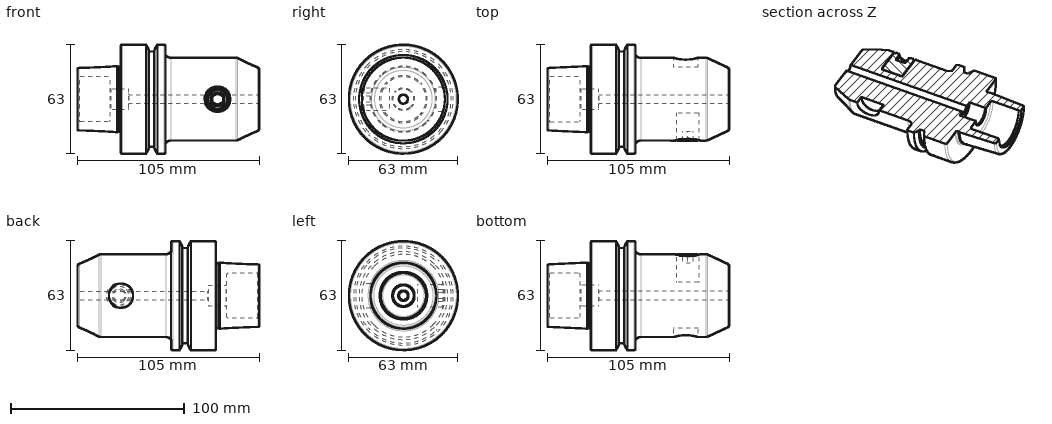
import cadquery as cq
import math


shank_tip_radius = 18.1
shank_base_radius = 19.1
taper_end = 22.9
edge_round = 1.0

relief_radius = 18.8
relief_start = 23.7
relief_end = 24.4
relief_round = 0.7
relief_rim_radius = 20.4

flange_radius = 31.5
flange_start = 25.0
flange_end = 50.9
groove_center = 42.8
groove_top_half_width = 3.3
groove_flank_half_width = 1.7
groove_floor_half_width = 1.5
groove_flank_radius = 28.7
groove_floor_radius = 27.5

neck_radius = 23.9
neck_fillet = 3.6
neck_fillet_end = 53.9
total_length = 105.0
nose_start = 92.0
nose_angle = math.radians(25)
nose_blend = 2.3
nose_tip_round = 2.0

bore_radius = 13.0
bore_mouth_radius = 13.8
bore_mouth_length = 1.3
bore_depth = 18.9
bore_floor_round = 1.0
entry_radius = 6.0
entry_depth = 10.5
entry_chamfer = 0.5
passage_radius = 2.5
passage_chamfer = 0.5

screw_x = 80.8
screw_radius = 6.5
screw_length = 16.0
screw_face_radius = 5.5
screw_chamfer = screw_radius - screw_face_radius
screw_hole_chamfer = 0.8
hex_across_flats = 6.0
hex_depth = 5.2
hex_mouth_radius = 4.0
hex_mouth_angle = math.radians(30)

pocket_x = 79.8
pocket_radius = 7.0
pocket_depth = 5.2

match_tolerance = 0.01


def relief_profile(outline):
    """Continue the outline over the relief and up to the flange face."""
    relief_floor_x = relief_end + relief_round
    round_diagonal = relief_round * math.sqrt(0.5)
    return (
        outline.lineTo(relief_start, relief_radius)
        .lineTo(relief_end, relief_radius)
        .threePointArc(
            (relief_end + round_diagonal, relief_radius + relief_round - round_diagonal),
            (relief_floor_x, relief_radius + relief_round),
        )
        .lineTo(flange_start, relief_rim_radius)
    )


def groove_profile(outline):
    """Continue the outline down into the gripper groove and out again."""
    steps = [
        (groove_top_half_width, flange_radius),
        (groove_flank_half_width, groove_flank_radius),
        (groove_floor_half_width, groove_floor_radius),
    ]
    for half_width, radius in steps:
        outline = outline.lineTo(groove_center - half_width, radius)
    for half_width, radius in reversed(steps):
        outline = outline.lineTo(groove_center + half_width, radius)
    return outline


def neck_fillet_profile(outline):
    """Continue the outline along the arc that runs from the flange face into the neck."""
    def arc_point(x):
        along = neck_fillet_end - x
        return x, neck_radius + neck_fillet - math.sqrt(neck_fillet**2 - along**2)

    middle = (flange_end + neck_fillet_end) / 2
    return (
        outline.lineTo(*arc_point(flange_end))
        .threePointArc(arc_point(middle), (neck_fillet_end, neck_radius))
    )


def round_rings(body, radius, *rings):
    """Round the circular edges found at each (x, ring radius) pair."""
    edges = [
        edge
        for edge in body.edges("%CIRCLE").vals()
        for x, ring_radius in rings
        if abs(edge.startPoint().x - x) < match_tolerance
        and abs(edge.radius() - ring_radius) < match_tolerance
    ]
    return body.newObject(edges).fillet(radius)


def make_blank():
    """Solid outside shape of the holder."""
    nose_tip_radius = neck_radius - (total_length - nose_start) * math.tan(nose_angle)
    outline = cq.Workplane("XY").lineTo(0, shank_tip_radius).lineTo(taper_end, shank_base_radius)
    outline = relief_profile(outline).lineTo(flange_start, flange_radius)
    outline = groove_profile(outline).lineTo(flange_end, flange_radius)
    outline = (
        neck_fillet_profile(outline)
        .lineTo(nose_start, neck_radius)
        .lineTo(total_length, nose_tip_radius)
        .lineTo(total_length, 0)
        .close()
    )
    blank = outline.revolve(360, (0, 0, 0), (1, 0, 0))
    blank = round_rings(
        blank,
        edge_round,
        (0, shank_tip_radius),
        (flange_start, flange_radius),
        (flange_end, flange_radius),
    )
    blank = round_rings(blank, nose_blend, (nose_start, neck_radius))
    return round_rings(blank, nose_tip_round, (total_length, nose_tip_radius))


def make_bore():
    """Stepped void along the axis, from the shank mouth through to the nose."""
    entry_floor = bore_depth + entry_depth
    round_diagonal = bore_floor_round * math.sqrt(0.5)
    return (
        cq.Workplane("XY")
        .lineTo(0, bore_mouth_radius)
        .lineTo(bore_mouth_length, bore_radius)
        .lineTo(bore_depth - bore_floor_round, bore_radius)
        .threePointArc(
            (
                bore_depth - bore_floor_round + round_diagonal,
                bore_radius - bore_floor_round + round_diagonal,
            ),
            (bore_depth, bore_radius - bore_floor_round),
        )
        .lineTo(bore_depth, entry_radius + entry_chamfer)
        .lineTo(bore_depth + entry_chamfer, entry_radius)
        .lineTo(entry_floor, entry_radius)
        .lineTo(entry_floor, passage_radius + passage_chamfer)
        .lineTo(entry_floor + passage_chamfer, passage_radius)
        .lineTo(total_length, passage_radius)
        .lineTo(total_length, 0)
        .close()
        .revolve(360, (0, 0, 0), (1, 0, 0))
    )


def radial_plane(x, direction):
    """Workplane on the neck surface facing the axis, on the +Y (1) or -Y (-1) side."""
    return cq.Workplane(
        cq.Plane(origin=(x, direction * neck_radius, 0), xDir=(1, 0, 0), normal=(0, -direction, 0))
    )


def cut_screw_hole(body):
    """Sink the clamping screw's hole and chamfer its rim along the neck surface."""
    hole = radial_plane(screw_x, -1).circle(screw_radius).extrude(screw_length)
    body = body.cut(hole)
    rim = body.edges(cq.NearestToPointSelector((screw_x, -neck_radius, screw_radius)))
    return rim.chamfer(screw_hole_chamfer)


def make_holder():
    pocket = radial_plane(pocket_x, 1).circle(pocket_radius).extrude(pocket_depth)
    return cut_screw_hole(make_blank()).cut(make_bore()).cut(pocket)


def make_screw():
    """Set screw flush with the neck, with a hexagon socket whose mouth is chamfered."""
    hex_across_corners = hex_across_flats / math.cos(math.radians(30))
    hex_inner_radius = hex_across_flats / 2
    mouth_depth = (hex_mouth_radius - hex_inner_radius) * math.tan(hex_mouth_angle)
    body = radial_plane(screw_x, -1).circle(screw_radius).extrude(screw_length)
    body = body.faces("<Y").chamfer(screw_chamfer)
    socket = (
        radial_plane(screw_x, -1)
        .transformed(rotate=(0, 0, 90))
        .polygon(6, hex_across_corners)
        .extrude(hex_depth)
    )
    mouth = cq.Solid.makeCone(
        hex_mouth_radius,
        hex_inner_radius,
        mouth_depth,
        pnt=cq.Vector(screw_x, -neck_radius, 0),
        dir=cq.Vector(0, 1, 0),
    )
    return body.cut(socket).cut(cq.Workplane(mouth))


holder = make_holder()
clamp_screw = make_screw()

result = cq.Compound.makeCompound([holder.solids().val(), clamp_screw.solids().val()])